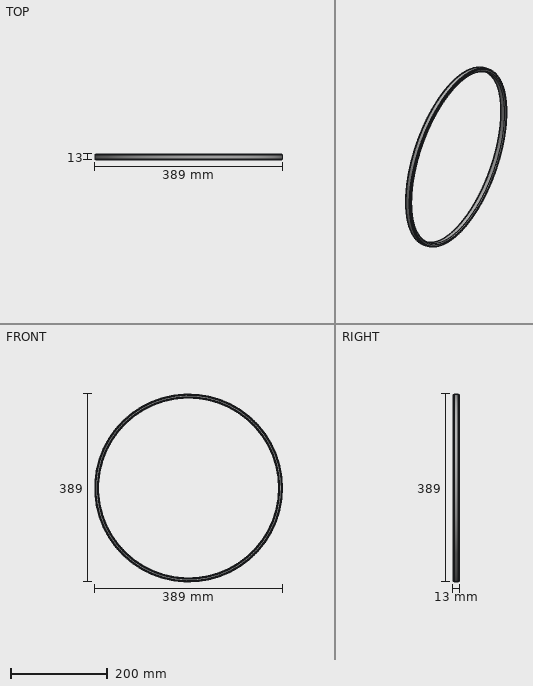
import cadquery as cq

outer_radius = 194.5
ring_width = 13.0
radial_thickness = 8.0
bore_chamfer = 2.5

rim_flat_width = 7.5
lip_drop = 1.0
lip_setback = 0.8
groove_width = 1.0
groove_depth = 1.5

half_width = ring_width / 2
inner_radius = outer_radius - radial_thickness
lip_radius = outer_radius - lip_drop
groove_bottom_radius = lip_radius - groove_width / 2
groove_inner_radius = lip_radius - groove_width

half_section = [
    (inner_radius, half_width - bore_chamfer),
    (inner_radius + bore_chamfer, half_width),
    (groove_inner_radius, half_width),
    (groove_bottom_radius, half_width - groove_depth),
    (lip_radius, half_width - lip_setback),
    (outer_radius, rim_flat_width / 2),
]
mirrored_half = [(radius, -offset) for radius, offset in reversed(half_section)]

result = (
    cq.Workplane("XY")
    .polyline(half_section + mirrored_half)
    .close()
    .revolve(360, (0, 0, 0), (0, 1, 0))
)